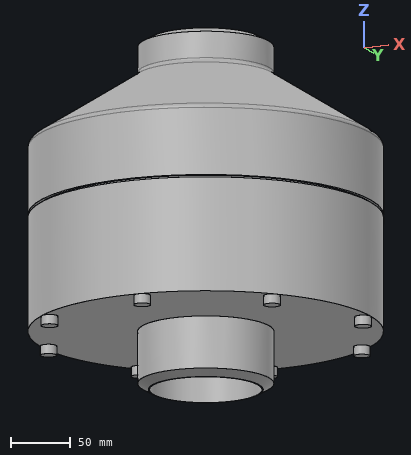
import math

import cadquery as cq

TOTAL_HEIGHT = 300.0
DRUM_BOTTOM = 50.0
GROOVE_BOTTOM = 148.0
SHOULDER_CORNER = 210.5
NECK_CORNER = 269.3

DRUM_DIAMETER = 298.0
EDGE_BLEND_RADIUS = 5.0

GROOVE_DIAMETER = 292.0
GROOVE_HEIGHT = 2.0

PIPE_DIAMETER = 114.3
BORE_DIAMETER = 94.3
ROOT_FACE = 1.0
BEVEL_ANGLE = 30.0

BORE_LENGTH = 62.5
CHAMBER_TOP_DIAMETER = 170.0

PIN_COUNT = 8
PIN_DIAMETER = 14.0
PIN_LENGTH = 8.0
PIN_CIRCLE_RADIUS = (DRUM_DIAMETER - PIN_DIAMETER) / 2

drum_radius = DRUM_DIAMETER / 2
groove_radius = GROOVE_DIAMETER / 2
pipe_radius = PIPE_DIAMETER / 2
bore_radius = BORE_DIAMETER / 2
root_radius = bore_radius + ROOT_FACE
bevel_height = (pipe_radius - root_radius) * math.tan(math.radians(BEVEL_ANGLE))


def revolve_profile(points):
    """Turn a closed (radius, height) outline into a solid around the Z axis."""
    return cq.Workplane("XZ").polyline(points).close().revolve(360, (0, 0), (0, 1))


def make_body():
    """Revolve the pipes, drum and conical top as one solid of revolution."""
    profile = [
        (0, 0),
        (root_radius, 0),
        (pipe_radius, bevel_height),
        (pipe_radius, DRUM_BOTTOM),
        (drum_radius, DRUM_BOTTOM),
        (drum_radius, GROOVE_BOTTOM),
        (groove_radius, GROOVE_BOTTOM),
        (groove_radius, GROOVE_BOTTOM + GROOVE_HEIGHT),
        (drum_radius, GROOVE_BOTTOM + GROOVE_HEIGHT),
        (drum_radius, SHOULDER_CORNER),
        (pipe_radius, NECK_CORNER),
        (pipe_radius, TOTAL_HEIGHT - bevel_height),
        (root_radius, TOTAL_HEIGHT),
        (0, TOTAL_HEIGHT),
    ]
    return blend_cone_edges(revolve_profile(profile))


def blend_cone_edges(body):
    """Round the edges where the cone meets the drum and the neck."""
    margin = 1.0
    cone_edges = cq.selectors.BoxSelector(
        (-DRUM_DIAMETER, -DRUM_DIAMETER, SHOULDER_CORNER - margin),
        (DRUM_DIAMETER, DRUM_DIAMETER, NECK_CORNER + margin),
        boundingbox=True,
    )
    return body.edges(cone_edges).edges("%CIRCLE").fillet(EDGE_BLEND_RADIUS)


def make_pins():
    return (
        cq.Workplane("XY")
        .workplane(offset=DRUM_BOTTOM - PIN_LENGTH)
        .polarArray(PIN_CIRCLE_RADIUS, 0, 360, PIN_COUNT)
        .circle(PIN_DIAMETER / 2)
        .extrude(PIN_LENGTH)
    )


def make_passage():
    """Revolve the through bore together with the tapered chamber between its two ends."""
    ceiling = TOTAL_HEIGHT - BORE_LENGTH
    profile = [
        (0, 0),
        (bore_radius, 0),
        (bore_radius, BORE_LENGTH),
        (CHAMBER_TOP_DIAMETER / 2, ceiling),
        (bore_radius, ceiling),
        (bore_radius, TOTAL_HEIGHT),
        (0, TOTAL_HEIGHT),
    ]
    return revolve_profile(profile)


result = make_body().union(make_pins()).cut(make_passage())